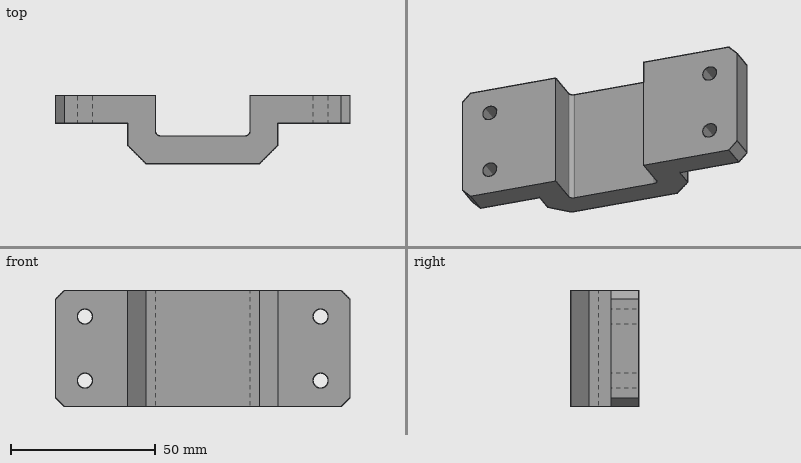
import cadquery as cq

length = 101.6
depth = 23.62
height = 40.13

wall = 9.652
bridge_width = 51.816
bridge_chamfer = 6.35
pocket_width = bridge_width - 2 * wall
pocket_fillet = 1.5875

corner_chamfer = 3.048
hole_diameter = 5.105
hole_spacing_x = 81.28
hole_spacing_z = 22.098

bridge_front = -depth
pocket_floor = bridge_front + wall


def block(width, front):
    """Full-height block centred on X and Z, reaching from Y = 0 to the front."""
    return cq.Workplane("XY").box(width, -front, height).translate((0, front / 2, 0))


def flange_plate():
    """Flat plate with its four corners chamfered."""
    return block(length, -wall).edges("|Y").chamfer(corner_chamfer)


def bridge():
    """Raised middle block with its two front vertical edges chamfered."""
    return block(bridge_width, bridge_front).edges("|Z and <Y").chamfer(bridge_chamfer)


def pocket():
    """Full-height channel behind the bridge, rounded along both sides of its floor."""
    return block(pocket_width, pocket_floor).edges("|Z and <Y").fillet(pocket_fillet)


def mounting_holes():
    """Four through holes, two in each flange."""
    return (
        cq.Workplane("XZ")
        .rect(hole_spacing_x, hole_spacing_z, forConstruction=True)
        .vertices()
        .circle(hole_diameter / 2)
        .extrude(wall)
    )


result = flange_plate().union(bridge()).cut(pocket()).cut(mounting_holes())